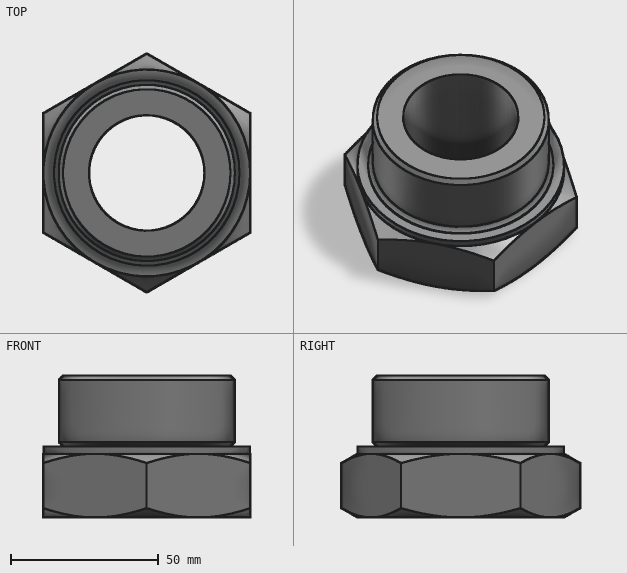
import cadquery as cq
import math

total_height = 48.0
bore_diameter = 38.95

across_flats = 70.0
across_corners = across_flats / math.cos(math.radians(30))
hex_height = 21.5
corner_bevel_angle = 30.0

collar_diameter = 69.9
collar_height = 2.5
collar_top = hex_height + collar_height

seat_diameter = 62.7
seat_depth = 0.25
seat_level = collar_top - seat_depth

spigot_diameter = 59.61
root_diameter = 56.1
root_bevel = (spigot_diameter - root_diameter) / 2
tip_bevel = 1.5


def revolved(profile):
    """Solid of revolution about Z from (radius, height) points."""
    return cq.Workplane("XZ").polyline(profile).close().revolve(360, (0, 0, 0), (0, 1, 0))


def hexagon_head():
    """Hexagonal prism with its corners trimmed by a cone at both ends."""
    prism = (
        cq.Workplane("XY")
        .polygon(6, across_corners)
        .extrude(hex_height)
        .rotate((0, 0, 0), (0, 0, 1), 30)
    )
    flat_radius = across_flats / 2
    corner_radius = across_corners / 2
    bevel_drop = (corner_radius - flat_radius) * math.tan(math.radians(corner_bevel_angle))
    envelope = revolved([
        (0, 0),
        (flat_radius, 0),
        (corner_radius, bevel_drop),
        (corner_radius, hex_height - bevel_drop),
        (flat_radius, hex_height),
        (0, hex_height),
    ])
    return prism.intersect(envelope)


def collar_and_spigot():
    """Turned upper part: collar, sunken seat and bevelled spigot."""
    collar_radius = collar_diameter / 2
    seat_radius = seat_diameter / 2
    spigot_radius = spigot_diameter / 2
    return revolved([
        (0, hex_height),
        (collar_radius, hex_height),
        (collar_radius, collar_top),
        (seat_radius, collar_top),
        (seat_radius, seat_level),
        (root_diameter / 2, seat_level),
        (spigot_radius, seat_level + root_bevel),
        (spigot_radius, total_height - tip_bevel),
        (spigot_radius - tip_bevel, total_height),
        (0, total_height),
    ])


def bore():
    """Straight hole through the whole part."""
    return cq.Workplane("XY").circle(bore_diameter / 2).extrude(total_height)


result = hexagon_head().union(collar_and_spigot()).cut(bore())